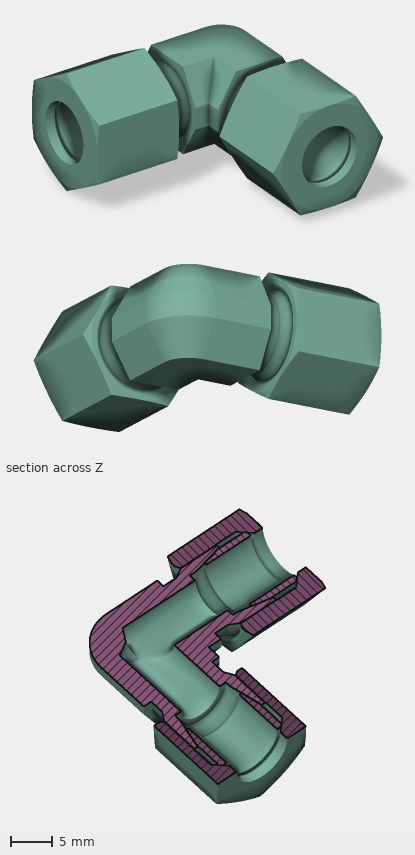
import cadquery as cq
import math

overall_length = 31.08

nut_flats = 14.0
nut_length = 12.0
nut_chamfer_angle = 15.0
nut_lip = 1.3
nut_countersink_radius = 6.22
nut_countersink_angle = 60.0

block_half_width = 6.0
block_length = 8.0
block_side_half_height = 1.5
block_chamfer_angle = 60.0
neck_radius = 4.85
neck_end = 10.0
thread_radius = 5.65
thread_runout_angle = 30.0
stub_end = 17.0
bore_radius = 3.0
drill_half_angle = 60.0
tube_radius = 4.0
tube_stop = 11.5
mouth_radius = 5.0
mouth_half_angle = 12.0

ring_start = 14.0
ring_gap = 0.55

y_arm_turn = -90

nut_corner_radius = nut_flats / math.sqrt(3)
nut_end = overall_length - nut_corner_radius
nut_start = nut_end - nut_length
nut_lip_back = nut_end - nut_lip
ring_end = nut_lip_back - ring_gap


def tan(degrees):
    return math.tan(math.radians(degrees))


block_top_half_width = block_half_width - (block_half_width - block_side_half_height) / tan(block_chamfer_angle)
mouth_depth = (mouth_radius - tube_radius) / tan(mouth_half_angle)


def revolved(points):
    """Solid of revolution about the X axis from (distance along X, radius) points."""
    return cq.Workplane("XY").polyline(points).close().revolve(360, (0, 0, 0), (1, 0, 0))


def turned_arm(body, angle):
    """A body on the +X arm, turned about the vertical axis."""
    return body.rotate((0, 0, 0), (0, 0, 1), angle)


half_section = [
    (block_top_half_width, -block_half_width),
    (block_half_width, -block_side_half_height),
    (block_half_width, block_side_half_height),
    (block_top_half_width, block_half_width),
]


def block_arm():
    """Octagonal bar along +X."""
    other_half = [(-sideways, -height) for sideways, height in half_section]
    return cq.Workplane("YZ").polyline(half_section + other_half).close().extrude(block_length)


def block_bend():
    """Rounded outer corner: the half section turned about the vertical axis."""
    half_outline = [(0, -block_half_width), *half_section, (0, block_half_width)]
    return cq.Workplane("XZ").polyline(half_outline).close().revolve(360, (0, 0, 0), (0, 1, 0))


def stub():
    """Necked, threaded stub along +X, with a plain cylinder for the thread."""
    runout = (thread_radius - neck_radius) / tan(thread_runout_angle)
    return revolved([
        (0, 0),
        (0, neck_radius),
        (neck_end, neck_radius),
        (neck_end + runout, thread_radius),
        (stub_end, thread_radius),
        (stub_end, 0),
    ])


def arm_hole():
    """Bore with its drill point, tube socket and tapered mouth."""
    return revolved([
        (-bore_radius / tan(drill_half_angle), 0),
        (0, bore_radius),
        (tube_stop, bore_radius),
        (tube_stop, tube_radius),
        (stub_end - mouth_depth, tube_radius),
        (stub_end, mouth_radius),
        (stub_end, 0),
    ])


def make_elbow():
    arm = block_arm().union(stub())
    outside = block_bend().union(arm).union(turned_arm(arm, y_arm_turn))
    return outside.cut(arm_hole()).cut(turned_arm(arm_hole(), y_arm_turn))


def make_nut():
    """Nut on the +X arm, with two flats facing up and down."""
    chamfer_length = (nut_corner_radius - nut_flats / 2) * tan(nut_chamfer_angle)
    hexagon = (
        cq.Workplane("YZ", origin=(nut_start, 0, 0))
        .polygon(6, 2 * nut_corner_radius)
        .extrude(nut_length)
    )
    chamfered_envelope = revolved([
        (nut_start, 0),
        (nut_start, nut_flats / 2),
        (nut_start + chamfer_length, nut_corner_radius),
        (nut_end - chamfer_length, nut_corner_radius),
        (nut_end, nut_flats / 2),
        (nut_end, 0),
    ])
    countersink_depth = (nut_countersink_radius - thread_radius) / tan(nut_countersink_angle)
    cavity = revolved([
        (nut_start, 0),
        (nut_start, nut_countersink_radius),
        (nut_start + countersink_depth, thread_radius),
        (nut_lip_back - (thread_radius - tube_radius), thread_radius),
        (nut_lip_back, tube_radius),
        (nut_end, tube_radius),
        (nut_end, 0),
    ])
    return hexagon.intersect(chamfered_envelope).cut(cavity)


def make_ring():
    """Ring on the +X arm: tapered into the stub mouth and seated on the nut's 45 degree cone."""
    tip_radius = mouth_radius - (stub_end - ring_start) * tan(mouth_half_angle)
    return revolved([
        (ring_start, tube_radius),
        (ring_start, tip_radius),
        (stub_end, mouth_radius),
        (nut_lip_back - (mouth_radius - tube_radius), mouth_radius),
        (ring_end, tube_radius + ring_gap),
        (ring_end, tube_radius),
    ])


elbow = make_elbow()
nuts = []
rings = []
for nut_turn, arm_turn in ((0, 0), (90, y_arm_turn)):
    nut = make_nut().rotate((0, 0, 0), (1, 0, 0), nut_turn)
    nuts.append(turned_arm(nut, arm_turn).val())
    rings.append(turned_arm(make_ring(), arm_turn).val())

result = cq.Compound.makeCompound([elbow.val(), *nuts, *rings])